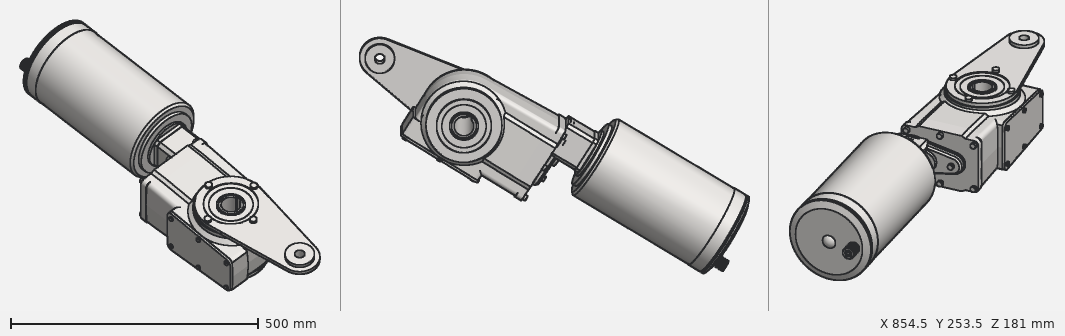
import cadquery as cq
import math


motor_y = 68.0
motor_rear_x = -586.0
motor_front_x = -266.0
body_dia = 179.5
body_chamfer = 5.0
cap_dia = 181.0
cap_face_dia = 149.5
cap_cone_length = 6.0
cap_length = 41.0
cap_groove_width = 3.0
cap_groove_depth = 2.0
cap_groove_land = 4.0
dome_dia = 29.0
dome_height = 8.0
front_plate_dia = 142.0
front_plate_x = -258.0
spigot_dia = 104.0
spigot_x = -253.0

connector_y = motor_y - 55.5
connector_tip_x = -613.5
connector_dia = 25.0
connector_neck_dia = 20.0
connector_base_length = 5.0
connector_neck_length = 5.0
connector_rib_width = 3.0
connector_rib_pitch = 7.0
connector_rib_count = 3
connector_socket_dia = 14.5
connector_socket_depth = 4.0
connector_pin_dia = 6.7

neck_width = 76.0
neck_chamfer = 8.0
collar_width = 79.0
collar_length = 8.5

flange_x = -183.0
housing_end_x = 95.0
taper_start_x = -149.5
draft_start_x = -167.5
draft_angle = 2.5
flange_half_height = 60.0
end_half_height = 46.0
housing_front_y = -77.0
housing_back_y = 95.0
housing_back_radius = 90.0
housing_fillet = 10.0
profile_corner = 12.0

panel_low_y = -39.0
panel_high_y = 55.5
panel_slope_width = 8.5
panel_rise = 4.7
panel_depth = 5.0
panel_end_x = -26.0

pedestal_x = -90.0
pedestal_root_y = -43.0
pedestal_y = -86.0
cover_end_x = 93.0
cover_inset = 1.0
cover_y = -91.9
screw_dia = 9.0
screw_tip_y = -95.0
screw_columns = ((-78.0, 41.45), (2.0, 42.0), (83.0, 37.0))

flange_bolt_dia = 12.0
flange_bolt_height = 7.0
flange_bolt_places = ((-67.5, 50.0), (7.3, 55.5), (82.0, 50.0))
pear_x = -200.0
pear_large_radius = 38.5
pear_small_radius = 21.0
pear_foot_x = -188.0
pear_foot_margin = 2.0
pear_small_y = -25.0
pear_chamfer = 4.0
boss_x = -208.0
boss_large_radius = 38.0
boss_small_radius = 22.0
boss_small_y = 31.0
pear_bolt_dia = 12.0
pear_bolt_height = 7.0

hub_radius = 77.0
hub_half_height = 70.0
flare_base_radius = 87.0
flare_top_radius = 76.0
flare_height = 10.0
pilot_dia = 111.0
pilot_half_height = 76.0
seal_dia = 90.0
seal_depth = 1.0
shaft_ring_outer_dia = 58.0
shaft_ring_inner_dia = 50.0
shaft_ring_depth = 3.0
bore_dia = 40.0
key_width = 12.0
key_reach = 23.5

arm_length = 200.0
arm_hub_radius = 73.5
arm_tip_radius = 41.0
arm_low_z = hub_half_height
arm_high_z = 79.0
eye_dia = 60.0
eye_hole_dia = 20.5
eye_overhang = 8.0
arm_bolt_dia = 14.5
arm_bolt_height = 5.0
arm_bolt_circle_radius = 65.0
arm_bolt_count = 4


def x_cylinder(dia, start_x, end_x, y, z=0.0):
    """Cylinder with its axis along X."""
    disc = cq.Workplane("YZ", origin=(start_x, y, z)).circle(dia / 2)
    return disc.extrude(end_x - start_x)


def z_cylinder(dia, low_z, high_z, x=0.0, y=0.0):
    """Cylinder with its axis along Z."""
    return cq.Workplane("XY", origin=(x, y, low_z)).circle(dia / 2).extrude(high_z - low_z)


def x_square(width, start_x, end_x, chamfer):
    """Square bar on the motor axis with chamfered long edges."""
    bar = cq.Workplane("YZ", origin=(start_x, motor_y, 0)).rect(width, width)
    return bar.extrude(end_x - start_x).edges("|X").chamfer(chamfer)


def tapered_outline(plane, first_centre, first_radius, second_centre, second_radius):
    """Two circles in line on the first plane axis, joined by their outer tangents."""
    gap = second_centre - first_centre
    side = math.copysign(1, gap)
    lean = (first_radius - second_radius) / abs(gap)
    rise = math.sqrt(1 - lean ** 2)

    def tangent_point(centre, radius, up):
        return (centre + side * radius * lean, up * radius * rise)

    return (
        plane.moveTo(*tangent_point(first_centre, first_radius, 1))
        .lineTo(*tangent_point(second_centre, second_radius, 1))
        .threePointArc(
            (second_centre + side * second_radius, 0),
            tangent_point(second_centre, second_radius, -1),
        )
        .lineTo(*tangent_point(first_centre, first_radius, -1))
        .threePointArc(
            (first_centre - side * first_radius, 0),
            tangent_point(first_centre, first_radius, 1),
        )
        .close()
    )


def make_motor():
    cap_radius = cap_dia / 2
    body_radius = body_dia / 2
    groove_x = motor_rear_x + cap_cone_length + cap_groove_land
    groove_end_x = groove_x + cap_groove_width
    cap_end_x = motor_rear_x + cap_length
    outline = [
        (motor_rear_x, 0),
        (motor_rear_x, cap_face_dia / 2),
        (motor_rear_x + cap_cone_length, cap_radius),
        (groove_x, cap_radius),
        (groove_x, cap_radius - cap_groove_depth),
        (groove_end_x, cap_radius - cap_groove_depth),
        (groove_end_x, cap_radius),
        (cap_end_x, cap_radius),
        (cap_end_x, body_radius),
        (motor_front_x - body_chamfer, body_radius),
        (motor_front_x, body_radius - body_chamfer),
        (motor_front_x, front_plate_dia / 2),
        (front_plate_x, front_plate_dia / 2),
        (front_plate_x, spigot_dia / 2),
        (spigot_x, spigot_dia / 2),
        (spigot_x, 0),
    ]
    turned = cq.Workplane("XY").polyline(outline).close().revolve(360, (0, 0, 0), (1, 0, 0))
    dome_radius = ((dome_dia / 2) ** 2 + dome_height ** 2) / (2 * dome_height)
    dome_centre_x = motor_rear_x - dome_height + dome_radius
    dome_mid_angle = math.asin(dome_dia / 2 / dome_radius) / 2
    dome = (
        cq.Workplane("XY")
        .moveTo(motor_rear_x, 0)
        .lineTo(motor_rear_x - dome_height, 0)
        .threePointArc(
            (dome_centre_x - dome_radius * math.cos(dome_mid_angle), dome_radius * math.sin(dome_mid_angle)),
            (motor_rear_x, dome_dia / 2),
        )
        .close()
        .revolve(360, (0, 0, 0), (1, 0, 0))
    )
    return turned.union(dome).translate((0, motor_y, 0))


def make_connector():
    base_x = motor_rear_x - connector_base_length
    neck_x = base_x - connector_neck_length
    connector = x_cylinder(connector_neck_dia, connector_tip_x, motor_rear_x, connector_y)
    connector = connector.union(x_cylinder(connector_dia, base_x, motor_rear_x, connector_y))
    for index in range(connector_rib_count):
        rib_x = connector_tip_x + index * connector_rib_pitch
        rib = x_cylinder(connector_dia, rib_x, min(rib_x + connector_rib_width, neck_x), connector_y)
        connector = connector.union(rib)
    socket_end_x = connector_tip_x + connector_socket_depth
    socket = x_cylinder(connector_socket_dia, connector_tip_x, socket_end_x, connector_y)
    pin = x_cylinder(connector_pin_dia, connector_tip_x, socket_end_x, connector_y)
    return connector.cut(socket.cut(pin))


def make_neck():
    neck = x_square(neck_width, spigot_x, flange_x, neck_chamfer)
    collar = x_square(collar_width, spigot_x, spigot_x + collar_length, neck_chamfer)
    return neck.union(collar)


def half_height(x):
    """Half height of the housing: even near the flange, then narrowing evenly to the far end."""
    along = max(0, x - taper_start_x) / (housing_end_x - taper_start_x)
    return flange_half_height + along * (end_half_height - flange_half_height)


def housing_slab(start_x, end_x, low_y, high_y, inset=0.0):
    """Slab between the two large housing faces, or set in from them."""
    stations = [start_x, end_x]
    if start_x < taper_start_x:
        stations.insert(1, taper_start_x)
    upper = [(x, half_height(x) - inset) for x in stations]
    lower = [(x, -z) for x, z in reversed(upper)]
    plane = cq.Workplane("XZ", origin=(0, low_y, 0))
    return plane.polyline(upper + lower).close().extrude(low_y - high_y)


def drafted(outline):
    """Extrude an outline both ways from the mid plane, narrowing with the casting draft."""
    upper = outline.extrude(hub_half_height, taper=draft_angle)
    return upper.union(upper.mirror("XY"))


def make_housing():
    arc_middle = housing_back_radius * math.sqrt(0.5)
    plan = drafted(
        cq.Workplane("XY")
        .moveTo(flange_x, housing_front_y)
        .lineTo(flange_x, housing_back_y)
        .lineTo(0, housing_back_radius)
        .threePointArc((arc_middle, arc_middle), (housing_back_radius, 0))
        .lineTo(housing_back_radius, housing_front_y)
        .close()
    )
    body = housing_slab(draft_start_x, housing_end_x, housing_front_y, housing_back_y).intersect(plan)
    for side in (">Z", "<Z"):
        body = body.faces(side).edges("not <X").fillet(housing_fillet)
    flange = housing_slab(flange_x, draft_start_x, housing_front_y, housing_back_y)
    return body.union(flange.edges("|X").fillet(housing_fillet))


def panel_section(x, height):
    low = height - panel_rise - panel_depth
    slope = panel_slope_width * (panel_rise + panel_depth) / panel_rise
    points = (
        (panel_low_y - slope, low),
        (panel_low_y, height),
        (panel_high_y, height),
        (panel_high_y + slope, low),
    )
    return cq.Wire.makePolygon([cq.Vector(x, y, z) for y, z in points], close=True)


def make_panel():
    sections = [
        panel_section(flange_x, half_height(flange_x) + panel_rise),
        panel_section(taper_start_x, half_height(taper_start_x) + panel_rise),
        panel_section(panel_end_x, half_height(panel_end_x) + panel_rise),
    ]
    return cq.Workplane(cq.Solid.makeLoft(sections, True))


def make_pedestal():
    plan = drafted(
        cq.Workplane("XY")
        .moveTo(pedestal_x, pedestal_root_y)
        .lineTo(housing_end_x, pedestal_root_y)
        .lineTo(housing_end_x, cover_y)
        .lineTo(pedestal_x, cover_y)
        .close()
    )
    pedestal = housing_slab(pedestal_x, housing_end_x, pedestal_y, pedestal_root_y)
    pedestal = pedestal.edges("|Y").fillet(profile_corner).intersect(plan)
    cover = housing_slab(pedestal_x, cover_end_x, cover_y, pedestal_y, cover_inset)
    pedestal = pedestal.union(cover.edges("|Y").fillet(profile_corner))
    for x, z in screw_columns:
        for screw_z in (z, -z):
            head = cq.Workplane("XZ", origin=(x, cover_y, screw_z)).circle(screw_dia / 2)
            pedestal = pedestal.union(head.extrude(cover_y - screw_tip_y))
    return pedestal


def make_pear_plate():
    """Pear-shaped plate with a wider foot, a boss around the neck and one bolt."""

    def layer(face_x, large_radius, small_y, small_radius):
        plane = cq.Workplane("YZ", origin=(face_x, 0, 0))
        outline = tapered_outline(plane, motor_y, large_radius, small_y, small_radius)
        return outline.extrude(flange_x - face_x)

    foot_large_radius = pear_large_radius + pear_foot_margin
    foot_small_radius = pear_small_radius + pear_foot_margin
    foot = layer(pear_foot_x, foot_large_radius, pear_small_y, foot_small_radius)
    plate = layer(pear_x, pear_large_radius, pear_small_y, pear_small_radius)
    plate = plate.faces("<X").edges().chamfer(pear_chamfer).union(foot)
    boss = layer(boss_x, boss_large_radius, boss_small_y, boss_small_radius)
    bolt = x_cylinder(pear_bolt_dia, pear_x - pear_bolt_height, flange_x, pear_small_y)
    return plate.union(boss).union(bolt)


def make_flange_bolts():
    bolts = cq.Workplane("XY")
    for y, z in flange_bolt_places:
        for bolt_z in (z, -z):
            bolt = x_cylinder(flange_bolt_dia, flange_x - flange_bolt_height, flange_x, y, bolt_z)
            bolts = bolts.add(bolt)
    return bolts.combine()


def make_hub():
    hub = z_cylinder(2 * hub_radius, -hub_half_height, hub_half_height)
    hub = hub.union(z_cylinder(pilot_dia, -pilot_half_height, pilot_half_height))
    slope = (flange_half_height - end_half_height) / (housing_end_x - taper_start_x)
    flare = cq.Workplane(
        cq.Solid.makeCone(
            flare_base_radius,
            flare_top_radius,
            flare_height,
            cq.Vector(0, 0, half_height(0)),
            cq.Vector(slope, 0, 1),
        )
    )
    return hub.union(flare).union(flare.mirror("XY"))


def cut_output_bore(part):
    """Seal seat and shaft ring groove on both hub ends, then the keyed through bore."""
    end = pilot_half_height
    for sign in (1, -1):
        seat = z_cylinder(seal_dia, sign * end, sign * (end - seal_depth))
        ring = z_cylinder(shaft_ring_outer_dia, sign * end, sign * (end - shaft_ring_depth))
        ring = ring.cut(z_cylinder(shaft_ring_inner_dia, sign * end, sign * (end - shaft_ring_depth)))
        part = part.cut(seat).cut(ring)
    keyway = cq.Workplane("XY").box(key_width, key_reach, 2 * end).translate((0, key_reach / 2, 0))
    return part.cut(z_cylinder(bore_dia, -end, end)).cut(keyway)


def make_torque_arm():
    plane = cq.Workplane("XY", origin=(0, 0, arm_low_z))
    arm = tapered_outline(plane, 0, arm_hub_radius, arm_length, arm_tip_radius)
    arm = arm.extrude(arm_high_z - arm_low_z)
    arm = arm.cut(z_cylinder(pilot_dia, arm_low_z, arm_high_z))
    eye_low_z = arm_low_z - eye_overhang
    eye_high_z = arm_high_z + eye_overhang
    arm = arm.union(z_cylinder(eye_dia, eye_low_z, eye_high_z, arm_length))
    arm = arm.cut(z_cylinder(eye_hole_dia, eye_low_z, eye_high_z, arm_length))
    heads = (
        cq.Workplane("XY", origin=(0, 0, arm_low_z))
        .polarArray(arm_bolt_circle_radius, 0, 360, arm_bolt_count)
        .circle(arm_bolt_dia / 2)
        .extrude(arm_high_z + arm_bolt_height - arm_low_z)
    )
    return arm.union(heads)


gearbox = make_housing().union(make_pedestal())
panel = make_panel()
gearbox = gearbox.union(panel).union(panel.mirror("XY"))
gearbox = gearbox.union(make_pear_plate()).union(make_flange_bolts()).union(make_hub())
drive = make_motor().union(make_connector()).union(make_neck())
result = cut_output_bore(gearbox.union(drive).union(make_torque_arm()))